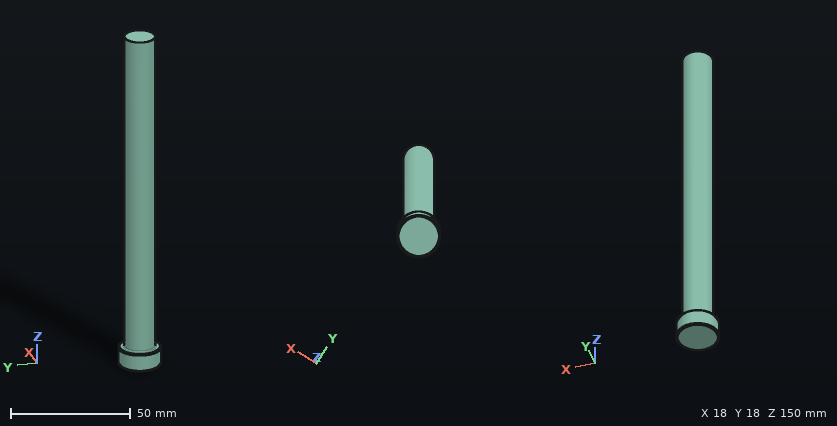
import cadquery as cq
import math

total_length = 150.0
head_radius = 18.0 / 2
head_height = 8.0
shank_radius = 13.0 / 2
rim_chamfer = 0.5
root_fillet = 0.5

root_centre_radius = shank_radius + root_fillet
root_centre_height = head_height + root_fillet
root_mid_offset = root_fillet * math.cos(math.pi / 4)

half_section = (
    cq.Workplane("XZ")
    .lineTo(head_radius - rim_chamfer, 0)
    .lineTo(head_radius, rim_chamfer)
    .lineTo(head_radius, head_height - rim_chamfer)
    .lineTo(head_radius - rim_chamfer, head_height)
    .lineTo(root_centre_radius, head_height)
    .threePointArc(
        (root_centre_radius - root_mid_offset, root_centre_height - root_mid_offset),
        (shank_radius, root_centre_height),
    )
    .lineTo(shank_radius, total_length)
    .lineTo(0, total_length)
    .close()
)

result = half_section.revolve(360, (0, 0, 0), (0, 1, 0))